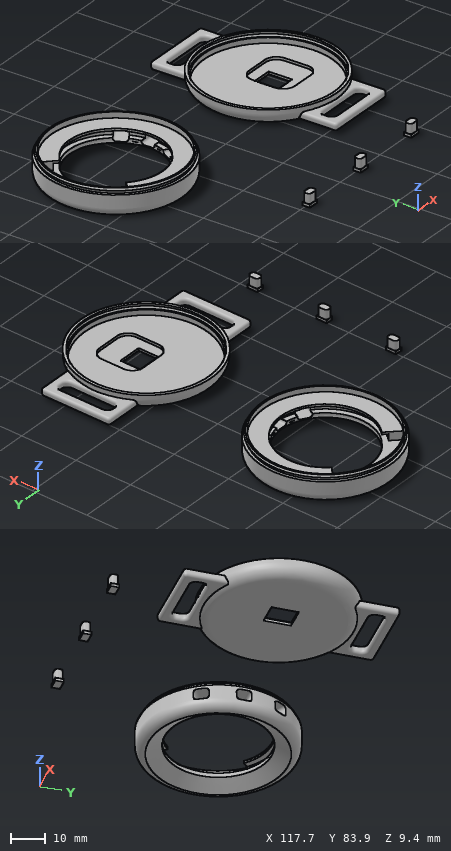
import cadquery as cq
import math

CASE_DIAMETER = 48.0
CASE_RADIUS = CASE_DIAMETER / 2
RING_HEIGHT = 9.4
RING_EDGE_ROUND = 3.1
RING_OPENING_RADIUS = 16.2
RING_CAVITY_RADIUS = 45.0 / 2

SHOULDER_Z = 7.7
BEAD_PEAK_Z = 8.7
BEAD_ROOT_RADIUS = 45.9 / 2
BEAD_PEAK_RADIUS = 23.4
BEAD_TIP_RADIUS = 46.0 / 2

FLOOR_Z = 4.4
OPENING_TAPER = 0.1
TAPER_TOP_Z = 3.5
TAPER_BOTTOM_Z = 2.8

SHELF_TOP_Z = 7.4
LIP_THICKNESS = 0.8
UNDERCUT_RADIUS = 18.2
SHELF_GAP_ANGLE = 90.0

HOLE_ANGLES = (-30.0, 0.0, 30.0)
HOLE_WIDTH = 4.6
HOLE_HEIGHT = 3.5
HOLE_CENTRE_Z = 5.0
HOLE_CORNER = 1.1

OVERALL_LENGTH = 117.7
OVERALL_WIDTH = 83.9
COVER_X = OVERALL_LENGTH - CASE_DIAMETER
COVER_Y = -4.7
COVER_BOTTOM_Z = 0.1
COVER_TOP_Z = 5.7
COVER_EDGE_ROUND = 4.0
COVER_FLOOR = 1.9
COVER_LEDGE_Z = 3.9

LUG_WIDTH = 25.4
LUG_SPAN = 65.3
LUG_BOTTOM_Z = 1.1
LUG_THICKNESS = 2.8
LUG_ROUND = 1.1
STRAP_SLOT_LENGTH = 19.3
STRAP_SLOT_WIDTH = 4.8
STRAP_SLOT_CORNER = 1.8
STRAP_SLOT_OFFSET = 27.0

POCKET_SIDE = 16.0
POCKET_CORNER = 4.0
POCKET_DEPTH = 1.0
POCKET_OFFSET_X = 5.9
WINDOW_LENGTH = 7.2
WINDOW_WIDTH = 8.2
WINDOW_OFFSET_X = 2.5

BUTTON_PITCH = 25.4
BUTTON_COUNT = 3
BUTTON_BOTTOM_Z = 0.2
BUTTON_HEIGHT = 4.4
FLANGE_LENGTH = 3.8
FLANGE_WIDTH = 2.6
FLANGE_THICKNESS = 1.1
STEM_LENGTH = 3.6
STEM_WIDTH = 2.5
STEM_CORNER = 1.1
BUTTON_Y = COVER_Y + LUG_SPAN / 2 - OVERALL_WIDTH + FLANGE_WIDTH / 2


def rounded_bar(length, width, height, corner):
    """Upright bar on z = 0 whose four vertical edges are rounded."""
    return (
        cq.Workplane("XY")
        .box(length, width, height, centered=(True, True, False))
        .edges("|Z")
        .fillet(corner)
    )


def bezel_body():
    """Revolved ring: rounded outside, sloping face towards the opening, snap bead on top."""
    flat_radius = CASE_RADIUS - RING_EDGE_ROUND
    diagonal = math.sqrt(0.5)
    edge_middle = (
        flat_radius + RING_EDGE_ROUND * diagonal,
        RING_EDGE_ROUND * (1 - diagonal),
    )
    return (
        cq.Workplane("XZ")
        .moveTo(flat_radius, 0)
        .threePointArc(edge_middle, (CASE_RADIUS, RING_EDGE_ROUND))
        .lineTo(CASE_RADIUS, SHOULDER_Z)
        .lineTo(BEAD_ROOT_RADIUS, SHOULDER_Z)
        .lineTo(BEAD_PEAK_RADIUS, BEAD_PEAK_Z)
        .lineTo(BEAD_TIP_RADIUS, RING_HEIGHT)
        .lineTo(RING_CAVITY_RADIUS, RING_HEIGHT)
        .lineTo(RING_CAVITY_RADIUS, FLOOR_Z)
        .lineTo(RING_OPENING_RADIUS, FLOOR_Z)
        .lineTo(RING_OPENING_RADIUS, TAPER_TOP_Z)
        .lineTo(RING_OPENING_RADIUS - OPENING_TAPER, TAPER_BOTTOM_Z)
        .close()
        .revolve(360, (0, 0, 0), (0, 1, 0))
    )


def shelf():
    """C-shaped shelf, open on the -X side, with a thin lip over the floor."""
    lip_z = SHELF_TOP_Z - LIP_THICKNESS
    return (
        cq.Workplane("XZ")
        .moveTo(UNDERCUT_RADIUS, FLOOR_Z)
        .lineTo(RING_CAVITY_RADIUS, FLOOR_Z)
        .lineTo(RING_CAVITY_RADIUS, SHELF_TOP_Z)
        .lineTo(RING_OPENING_RADIUS, SHELF_TOP_Z)
        .lineTo(RING_OPENING_RADIUS, lip_z)
        .lineTo(UNDERCUT_RADIUS, lip_z)
        .close()
        .revolve(360 - SHELF_GAP_ANGLE, (0, 0, 0), (0, 1, 0))
        .rotate((0, 0, 0), (0, 0, 1), 180 + SHELF_GAP_ANGLE / 2)
    )


def button_hole(angle):
    """Radial cutter with rounded corners, from inside the opening to outside the ring."""
    start_radius = RING_OPENING_RADIUS / 2
    return (
        rounded_bar(HOLE_HEIGHT, HOLE_WIDTH, CASE_RADIUS, HOLE_CORNER)
        .rotate((0, 0, 0), (0, 1, 0), 90)
        .translate((start_radius, 0, HOLE_CENTRE_Z))
        .rotate((0, 0, 0), (0, 0, 1), angle)
    )


def make_bezel():
    """Ring and shelf as one body, with the button holes cut through."""
    bezel = bezel_body().union(shelf())
    for angle in HOLE_ANGLES:
        bezel = bezel.cut(button_hole(angle))
    return bezel


def lug_plate():
    """Plate across the cover with a strap slot at each end, all its edges rounded."""
    plate = cq.Workplane("XY").box(
        LUG_WIDTH, LUG_SPAN, LUG_THICKNESS, centered=(True, True, False)
    )
    plate = plate.edges().fillet(LUG_ROUND)
    slot = rounded_bar(STRAP_SLOT_LENGTH, STRAP_SLOT_WIDTH, LUG_THICKNESS, STRAP_SLOT_CORNER)
    for side in (-1, 1):
        plate = plate.cut(slot.translate((0, side * STRAP_SLOT_OFFSET, 0)))
    slot_edges = []
    for face in plate.faces("<Z or >Z").vals():
        for wire in face.innerWires():
            slot_edges.extend(wire.Edges())
    rounded_plate = plate.val().fillet(LUG_ROUND, slot_edges)
    return cq.Workplane(rounded_plate).translate((0, 0, LUG_BOTTOM_Z))


def cover_cavity():
    """Revolved cavity: flat floor, plain wall, ledge and a groove for the snap bead."""
    floor_z = COVER_BOTTOM_Z + COVER_FLOOR
    groove_z = COVER_LEDGE_Z + RING_HEIGHT - BEAD_PEAK_Z
    return (
        cq.Workplane("XZ")
        .moveTo(0, floor_z)
        .lineTo(RING_CAVITY_RADIUS, floor_z)
        .lineTo(RING_CAVITY_RADIUS, COVER_LEDGE_Z)
        .lineTo(BEAD_TIP_RADIUS, COVER_LEDGE_Z)
        .lineTo(BEAD_PEAK_RADIUS, groove_z)
        .lineTo(BEAD_ROOT_RADIUS, COVER_TOP_Z)
        .lineTo(0, COVER_TOP_Z)
        .close()
        .revolve(360, (0, 0, 0), (0, 1, 0))
    )


def make_cover():
    """Dished cover with strap lugs, a shallow floor pocket and a window through it."""
    cover = (
        cq.Workplane("XY", origin=(0, 0, COVER_BOTTOM_Z))
        .circle(CASE_RADIUS)
        .extrude(COVER_TOP_Z - COVER_BOTTOM_Z)
        .faces("<Z")
        .edges()
        .fillet(COVER_EDGE_ROUND)
    )
    pocket_z = COVER_BOTTOM_Z + COVER_FLOOR - POCKET_DEPTH
    pocket = rounded_bar(POCKET_SIDE, POCKET_SIDE, COVER_TOP_Z, POCKET_CORNER)
    window = cq.Workplane("XY").box(WINDOW_LENGTH, WINDOW_WIDTH, COVER_TOP_Z)
    cover = (
        cover.union(lug_plate())
        .cut(cover_cavity())
        .cut(pocket.translate((POCKET_OFFSET_X, 0, pocket_z)))
        .cut(window.translate((WINDOW_OFFSET_X, 0, 0)))
    )
    return cover.translate((COVER_X, COVER_Y, 0))


def make_button():
    """Rounded stem on a rectangular flange."""
    flange = cq.Workplane("XY").box(
        FLANGE_LENGTH, FLANGE_WIDTH, FLANGE_THICKNESS, centered=(True, True, False)
    )
    stem = rounded_bar(STEM_LENGTH, STEM_WIDTH, BUTTON_HEIGHT, STEM_CORNER)
    return flange.union(stem)


bezel = make_bezel()
cover = make_cover()
buttons = [
    make_button().translate((COVER_X - BUTTON_PITCH * i, BUTTON_Y, BUTTON_BOTTOM_Z))
    for i in range(BUTTON_COUNT)
]

result = cq.Compound.makeCompound(
    [bezel.val(), cover.val()] + [button.val() for button in buttons]
)